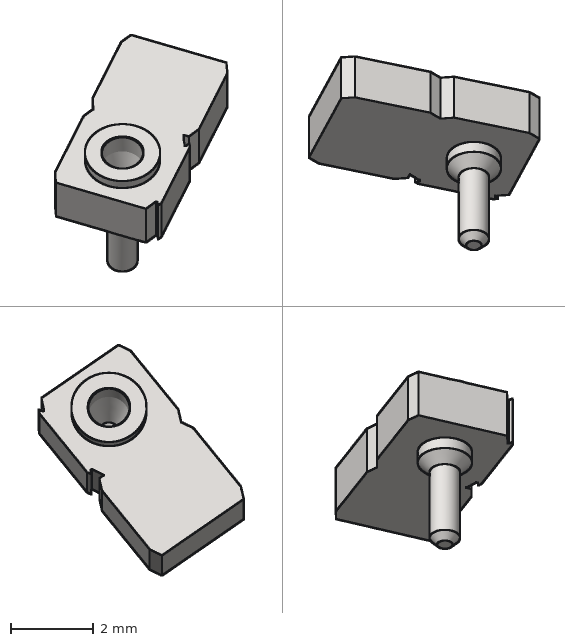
import cadquery as cq

block_width = 2.77
block_length = 5.08
block_height = 1.26
cell_length = block_length / 2
corner_x = 0.14
corner_y = 0.305
tooth_tip_inset = 0.05
tooth_root_inset = 0.1
tooth_height = 0.1

flange_diameter = 1.83
flange_height = 0.26
collar_diameter = 1.32
collar_drop = 0.305
shaft_diameter = 0.74
shoulder_drop = 0.28
pin_drop = 2.67
tip_diameter = 0.375
tip_height = 0.195

bore_diameter = 1.0
bore_rim_chamfer = 0.015
bore_depth = 0.545
funnel_end_diameter = 0.445
funnel_depth = 0.915
dimple_end_diameter = 0.06
dimple_depth = 0.115


def make_block():
    """Block with chamfered cells, undercut at two corners of its +X side."""
    side = block_width / 2
    front = -cell_length / 2
    waist = front + cell_length
    back = front + block_length
    inner = side - corner_x
    undercut = side - 2 * corner_x
    tooth_tip = side - tooth_tip_inset
    tooth_root = side - tooth_root_inset
    front_shoulder = front + corner_y
    waist_shoulder = waist - corner_y

    outline = [
        (-inner, front),
        (undercut, front),
        (inner, front_shoulder),
        (tooth_root, front_shoulder),
        (tooth_tip, front_shoulder - tooth_height),
        (side, front_shoulder),
        (side, waist_shoulder),
        (tooth_tip, waist_shoulder + tooth_height),
        (tooth_root, waist_shoulder),
        (inner, waist_shoulder),
        (undercut, waist),
        (inner, waist),
        (side, waist + corner_y),
        (side, back - corner_y),
        (inner, back),
        (-inner, back),
        (-side, back - corner_y),
        (-side, waist + corner_y),
        (-inner, waist),
        (-side, waist_shoulder),
        (-side, front_shoulder),
    ]
    body = cq.Workplane("XY").polyline(outline).close().extrude(block_height)
    pin_hole = cq.Workplane("XY").circle(collar_diameter / 2).extrude(block_height)
    return body.cut(pin_hole)


def make_pin():
    """Turned pin with a flange on the block and a funnel-shaped socket."""
    flange_top = block_height + flange_height
    shoulder_bottom = -collar_drop - shoulder_drop
    bore_bottom = flange_top - bore_depth
    funnel_bottom = bore_bottom - funnel_depth
    bore_radius = bore_diameter / 2

    half_section = [
        (0, -pin_drop),
        (tip_diameter / 2, -pin_drop),
        (shaft_diameter / 2, -pin_drop + tip_height),
        (shaft_diameter / 2, shoulder_bottom),
        (collar_diameter / 2, -collar_drop),
        (collar_diameter / 2, block_height),
        (flange_diameter / 2, block_height),
        (flange_diameter / 2, flange_top),
        (bore_radius + bore_rim_chamfer, flange_top),
        (bore_radius, flange_top - bore_rim_chamfer),
        (bore_radius, bore_bottom),
        (funnel_end_diameter / 2, funnel_bottom),
        (dimple_end_diameter / 2, funnel_bottom - dimple_depth),
        (0, funnel_bottom - dimple_depth),
    ]
    return cq.Workplane("XZ").polyline(half_section).close().revolve(360, (0, 0), (0, 1))


block = make_block()
pin = make_pin()

result = cq.Compound.makeCompound([block.val(), pin.val()])